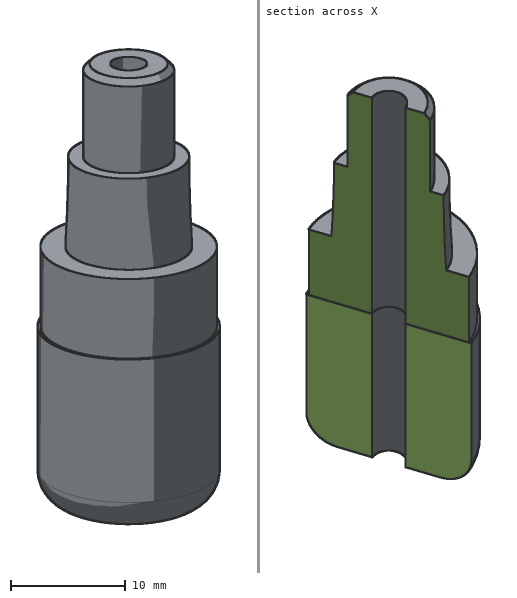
import cadquery as cq
import math

cap_diameter = 16.0
collar_diameter = 15.5
flare_bottom_diameter = 11.15
flare_top_diameter = 10.65
spigot_diameter = cap_diameter / 2
bore_diameter = 3.2

cap_height = 16.5
collar_top = 24.0
flare_top = 32.5
total_height = 41.25

cap_fillet = 3.0
spigot_chamfer = 0.58


def make_cap():
    """Lower cap: a bored cylinder with a rounded bottom rim."""
    cap = cq.Workplane("XY").circle(cap_diameter / 2).extrude(cap_height)
    cap = cap.faces("<Z").edges().fillet(cap_fillet)
    return cap.faces(">Z").workplane().hole(bore_diameter)


def make_stem():
    """Upper stem: collar, concave flare and chamfered spigot around one bore."""
    bore_radius = bore_diameter / 2
    collar_radius = collar_diameter / 2
    spigot_radius = spigot_diameter / 2
    flare_bottom_radius = flare_bottom_diameter / 2
    flare_top_radius = flare_top_diameter / 2

    flare_height = flare_top - collar_top
    flare_spread = flare_bottom_radius - flare_top_radius
    arc_radius = (flare_spread**2 + flare_height**2) / (2 * flare_spread)
    half_height = flare_height / 2
    middle_spread = arc_radius - math.sqrt(arc_radius**2 - half_height**2)
    flare_middle = (flare_top_radius + middle_spread, collar_top + half_height)

    profile = (
        cq.Workplane("XZ")
        .moveTo(bore_radius, cap_height)
        .lineTo(collar_radius, cap_height)
        .lineTo(collar_radius, collar_top)
        .lineTo(flare_bottom_radius, collar_top)
        .threePointArc(flare_middle, (flare_top_radius, flare_top))
        .lineTo(spigot_radius, flare_top)
        .lineTo(spigot_radius, total_height - spigot_chamfer)
        .lineTo(spigot_radius - spigot_chamfer, total_height)
        .lineTo(bore_radius, total_height)
        .close()
    )
    return profile.revolve(360, (0, 0), (0, 1))


cap = make_cap()
stem = make_stem()
result = cq.Compound.makeCompound([cap.val(), stem.val()])